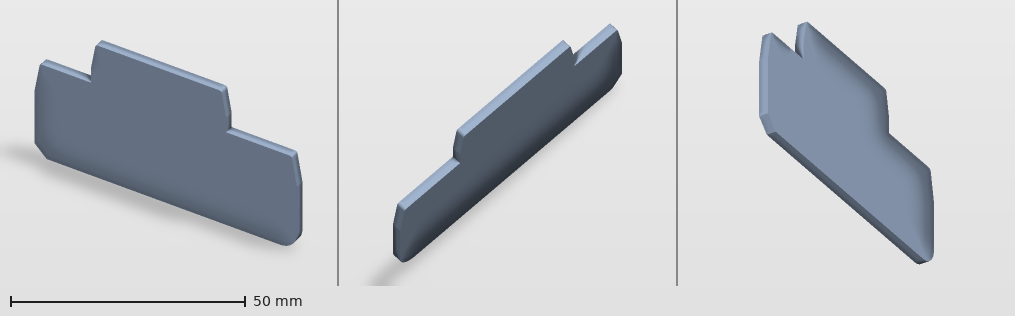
import cadquery as cq
import math

length = 65.6
height = 35.1
thickness = 2.2

shoulder_height = 24.6
tab_left = 14.1
tab_right = 47.9

taper_angle = 10.0
body_taper_drop = 7.55
tab_taper_drop = 6.55
tip_radius = 0.65

chamfer = 3.0
corner_radius = 4.25


def taper_inset(drop):
    """Sideways shift of a flank over the height of its taper."""
    return drop * math.tan(math.radians(taper_angle))


body_inset = taper_inset(body_taper_drop)
tab_inset = taper_inset(tab_taper_drop)
body_taper_start = shoulder_height - body_taper_drop
tab_taper_start = height - tab_taper_drop

outline = [
    (chamfer, 0),
    (length, 0),
    (length, body_taper_start),
    (length - body_inset, shoulder_height),
    (tab_right, shoulder_height),
    (tab_right, tab_taper_start),
    (tab_right - tab_inset, height),
    (tab_left + tab_inset, height),
    (tab_left, tab_taper_start),
    (tab_left, shoulder_height),
    (body_inset, shoulder_height),
    (0, body_taper_start),
    (0, chamfer),
]
plate = cq.Workplane("XZ").polyline(outline).close().extrude(thickness)


def round_corner(body, x, z, radius):
    """Fillet the through-thickness edge standing at (x, z)."""
    corner = cq.selectors.NearestToPointSelector((x, -thickness / 2, z))
    return body.edges("|Y").edges(corner).fillet(radius)


for tip_x, tip_z in [
    (body_inset, shoulder_height),
    (length - body_inset, shoulder_height),
    (tab_left + tab_inset, height),
    (tab_right - tab_inset, height),
]:
    plate = round_corner(plate, tip_x, tip_z, tip_radius)

result = round_corner(plate, length, 0, corner_radius)